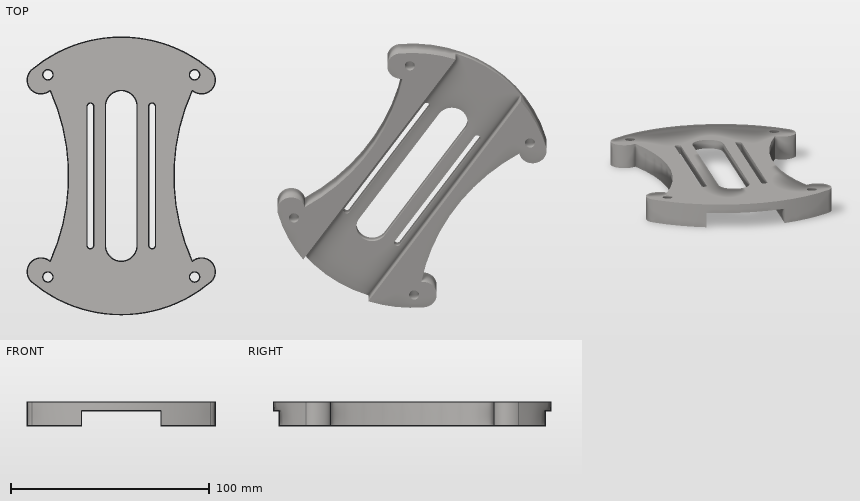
import cadquery as cq
import math

length = 140.0
width = 94.9
height = 12.0
end_radius = length / 2

lobe_radius = 7.0
lobe_x = width / 2 - lobe_radius
lobe_y = math.sqrt((end_radius - lobe_radius) ** 2 - lobe_x ** 2)
tangent_scale = end_radius / (end_radius - lobe_radius)
tangent_x = lobe_x * tangent_scale
tangent_y = lobe_y * tangent_scale

waist_half_width = 26.6
waist_end_x = 35.8
waist_end_y = lobe_y - math.sqrt(lobe_radius ** 2 - (lobe_x - waist_end_x) ** 2)

hole_diameter = 5.0
hole_x = 37.0
hole_y = 51.0

center_slot_width = 15.8
center_slot_length = 86.0
side_slot_width = 3.2
side_slot_length = 73.4
side_slot_x = 15.5

channel_width = 40.0
top_thickness = 4.5
channel_depth = height - top_thickness


def make_plate():
    """Waisted plate with round ends and four lobes, drawn clockwise from the upper left."""
    return (
        cq.Workplane("XY")
        .moveTo(-tangent_x, tangent_y)
        .threePointArc((0, end_radius), (tangent_x, tangent_y))
        .threePointArc((width / 2, lobe_y), (waist_end_x, waist_end_y))
        .threePointArc((waist_half_width, 0), (waist_end_x, -waist_end_y))
        .threePointArc((width / 2, -lobe_y), (tangent_x, -tangent_y))
        .threePointArc((0, -end_radius), (-tangent_x, -tangent_y))
        .threePointArc((-width / 2, -lobe_y), (-waist_end_x, -waist_end_y))
        .threePointArc((-waist_half_width, 0), (-waist_end_x, waist_end_y))
        .threePointArc((-width / 2, lobe_y), (-tangent_x, tangent_y))
        .close()
        .extrude(height)
    )


def make_slot(x, slot_length, slot_width):
    """Round-ended cutter along Y through the full height."""
    return cq.Workplane("XY").center(x, 0).slot2D(slot_length, slot_width, 90).extrude(height)


def make_channel():
    return cq.Workplane("XY").box(channel_width, length, channel_depth, centered=(True, True, False))


def make_screw_holes():
    return (
        cq.Workplane("XY")
        .rect(2 * hole_x, 2 * hole_y, forConstruction=True)
        .vertices()
        .circle(hole_diameter / 2)
        .extrude(height)
    )


result = make_plate().cut(make_channel()).cut(make_screw_holes())
result = result.cut(make_slot(0, center_slot_length, center_slot_width))
for slot_x in (-side_slot_x, side_slot_x):
    result = result.cut(make_slot(slot_x, side_slot_length, side_slot_width))